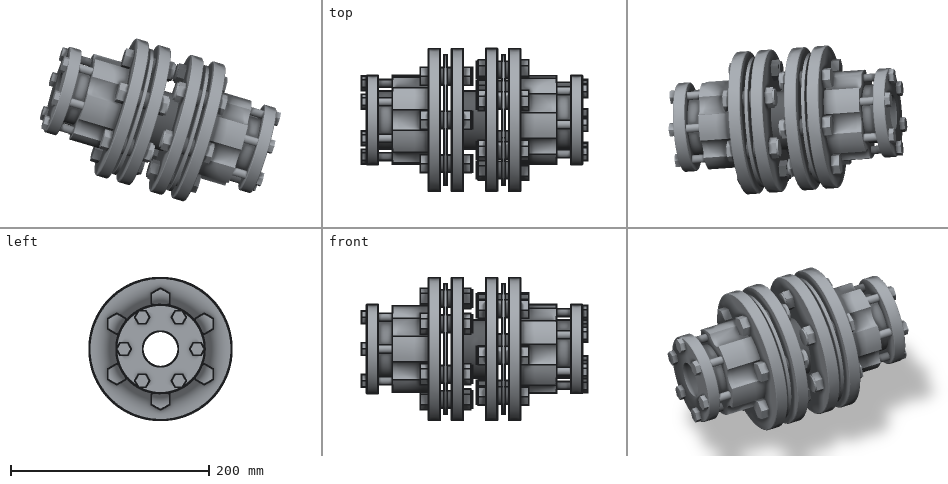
import cadquery as cq
import math


overall_length = 228.0
flange_radius = 72.0
flange_thickness = 12.0
edge_chamfer = 0.64
bore_radius = 17.8
neck_radius = 29.5

spacer_flange_outer = 23.3
spacer_flange_inner = spacer_flange_outer - flange_thickness
flange_gap = 11.2
hub_flange_inner = spacer_flange_outer + flange_gap
hub_flange_outer = hub_flange_inner + flange_thickness
barrel_end = 82.8
clamp_ring_inner = 97.0
clamp_ring_outer = 109.0
screw_head_end = overall_length / 2

disc_radius = 66.0
disc_inner = 27.5
disc_outer = 30.8

barrel_radius = 45.0
clamp_ring_radius = 45.0
scallop_radius = 12.5

fastener_count = 6
hexagon_sides = 6
bolt_circle_radius = 50.8
bolt_first_angle = 90
bolt_shank_radius = 9.0
bolt_hex_flats = 18.2
bolt_head_height = 8.2
nut_height = 7.5
nut_collar_height = 0.5
bolt_tip_length = 1.4
screw_circle_radius = 37.0
screw_first_angle = 0
screw_shank_radius = 4.0
screw_hex_flats = 13.0

right_hub_turn = -22.8


def ring_places(radius, first_angle):
    """(Y, Z) centres spaced evenly around a circle."""
    angles = [math.radians(first_angle + 360 / fastener_count * i) for i in range(fastener_count)]
    return [(radius * math.cos(a), radius * math.sin(a)) for a in angles]


def cylinders(radius, start, end, places=((0, 0),)):
    """Cylinders along X from start to end, centred at the given (Y, Z) places."""
    return cq.Workplane("YZ", origin=(start, 0, 0)).pushPoints(places).circle(radius).extrude(end - start)


def chamfered_plate(radius, start, end):
    """A round plate with both rim edges chamfered."""
    return cylinders(radius, start, end).edges("%CIRCLE").chamfer(edge_chamfer)


def hexagons(flats, start, end, places, corner_angle):
    """Hexagonal prisms along X; one corner of each points at corner_angle from Y."""
    corner_radius = flats / 2 / math.cos(math.pi / hexagon_sides)
    corner_angles = [math.radians(corner_angle + 360 / hexagon_sides * i) for i in range(hexagon_sides)]
    corners = [(corner_radius * math.cos(a), corner_radius * math.sin(a)) for a in corner_angles]
    prisms = cq.Workplane("YZ", origin=(start, 0, 0))
    for y, z in places:
        outline = [(y + corner_y, z + corner_z) for corner_y, corner_z in corners]
        prisms = prisms.polyline(outline).close()
    return prisms.extrude(end - start)


bolt_places = ring_places(bolt_circle_radius, bolt_first_angle)
screw_places = ring_places(screw_circle_radius, screw_first_angle)


def make_bolts():
    """Flange bolts: heads on the hub flange, collared nuts on the spacer flange, tips past the nuts."""
    head_end = hub_flange_outer + bolt_head_height
    nut_end = spacer_flange_inner - nut_height
    collar_end = nut_end - nut_collar_height
    shanks = cylinders(bolt_shank_radius, collar_end - bolt_tip_length, hub_flange_outer, bolt_places)
    collars = cylinders(bolt_hex_flats / 2, collar_end, nut_end, bolt_places)
    nuts = hexagons(bolt_hex_flats, nut_end, spacer_flange_inner, bolt_places, bolt_first_angle)
    heads = hexagons(bolt_hex_flats, hub_flange_outer, head_end, bolt_places, bolt_first_angle)
    return shanks.union(nuts).union(collars).union(heads)


def make_screws():
    """Clamp screws running from the barrel through the clamp ring to their heads."""
    shanks = cylinders(screw_shank_radius, barrel_end, clamp_ring_outer, screw_places)
    heads = hexagons(screw_hex_flats, clamp_ring_outer, screw_head_end, screw_places, screw_first_angle)
    return shanks.union(heads)


def make_hub():
    """Hub on the +X side: flange, scalloped barrel, neck and clamp ring with its fasteners."""
    barrel = cylinders(barrel_radius, hub_flange_outer, barrel_end)
    barrel = barrel.cut(cylinders(scallop_radius, hub_flange_outer, barrel_end, bolt_places))
    hub = chamfered_plate(flange_radius, hub_flange_inner, hub_flange_outer).union(barrel)
    hub = hub.union(cylinders(neck_radius, barrel_end, clamp_ring_inner))
    hub = hub.union(chamfered_plate(clamp_ring_radius, clamp_ring_inner, clamp_ring_outer))
    hub = hub.cut(cylinders(bore_radius, hub_flange_inner, clamp_ring_outer))
    return hub.union(make_bolts()).union(make_screws())


def make_disc():
    """Thin disc on the +X side with a bore and bolt holes."""
    disc = cylinders(disc_radius, disc_inner, disc_outer)
    disc = disc.cut(cylinders(bore_radius, disc_inner, disc_outer))
    return disc.cut(cylinders(bolt_shank_radius, disc_inner, disc_outer, bolt_places))


def to_left(body):
    """Turn a +X side body half a turn about Z onto the -X side."""
    return body.rotate((0, 0, 0), (0, 0, 1), 180)


def to_right(body):
    """Turn a +X side body about X to the angle of the right hub."""
    return body.rotate((0, 0, 0), (1, 0, 0), right_hub_turn)


def make_spacer():
    """Two flanges joined by a tube, drilled for the bolts of both hubs."""
    right_flange = chamfered_plate(flange_radius, spacer_flange_inner, spacer_flange_outer)
    right_holes = cylinders(bolt_shank_radius, spacer_flange_inner, spacer_flange_outer, bolt_places)
    spacer = cylinders(neck_radius, -spacer_flange_inner, spacer_flange_inner)
    spacer = spacer.union(to_left(right_flange)).union(right_flange)
    spacer = spacer.cut(cylinders(bore_radius, -spacer_flange_outer, spacer_flange_outer))
    return spacer.cut(to_left(right_holes)).cut(to_right(right_holes))


hub = make_hub()
disc = make_disc()
left_hub = to_left(hub)
right_hub = to_right(hub)
left_disc = to_left(disc)
right_disc = to_right(disc)
spacer = make_spacer()

result = cq.Compound.makeCompound([
    left_hub.val(),
    left_disc.val(),
    spacer.val(),
    right_disc.val(),
    right_hub.val(),
])